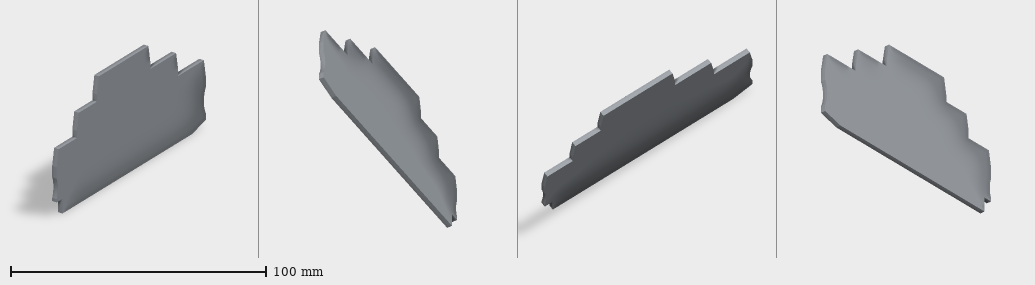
import cadquery as cq

thickness = 2.2
length = 99.45
height = 50.2
back = length / 2
front = -length / 2
bottom = -height / 2

tier_count = 3
tier_rise = 10.5
back_setback = 18.5
front_setback = 13.4
taper_height = 7.4
taper_inset = 1.3

recess_top = bottom + 16.8
back_recess_height = 11.4
back_recess_depth = 1.3
front_recess_height = 9.05
front_recess_depth = 0.8

bevel_length = 9.2
bevel_height = 2.5
notch_length = 3.9
notch_height = 6.4


def tier_top(level):
    """Height of a tier's top edge, with level 0 as the lowest tier."""
    return height / 2 - (tier_count - 1 - level) * tier_rise


def add_back_tier(outline, level):
    """Climb the back side of one tier: upright, then inward taper."""
    side = back - level * back_setback
    top = tier_top(level)
    if level > 0:
        outline = outline.lineTo(side, tier_top(level - 1))
    return outline.lineTo(side, top - taper_height).lineTo(side - taper_inset, top)


def add_front_tier(outline, level):
    """Descend the front side of one tier: outward taper, then upright."""
    side = front + level * front_setback
    top = tier_top(level)
    outline = outline.lineTo(side + taper_inset, top).lineTo(side, top - taper_height)
    if level > 0:
        outline = outline.lineTo(side, tier_top(level - 1))
    return outline


profile = (
    cq.Workplane("YZ", origin=(-thickness / 2, 0, 0))
    .moveTo(front + notch_length, bottom)
    .lineTo(back - bevel_length, bottom)
    .lineTo(back, bottom + bevel_height)
    .lineTo(back, recess_top - back_recess_height)
    .threePointArc(
        (back - back_recess_depth, recess_top - back_recess_height / 2),
        (back, recess_top),
    )
)

for tier in range(tier_count):
    profile = add_back_tier(profile, tier)
for tier in reversed(range(tier_count)):
    profile = add_front_tier(profile, tier)

profile = (
    profile.lineTo(front, recess_top)
    .threePointArc(
        (front + front_recess_depth, recess_top - front_recess_height / 2),
        (front, recess_top - front_recess_height),
    )
    .lineTo(front, bottom + notch_height)
    .lineTo(front + notch_length, bottom + notch_height)
    .close()
)

result = profile.extrude(thickness)